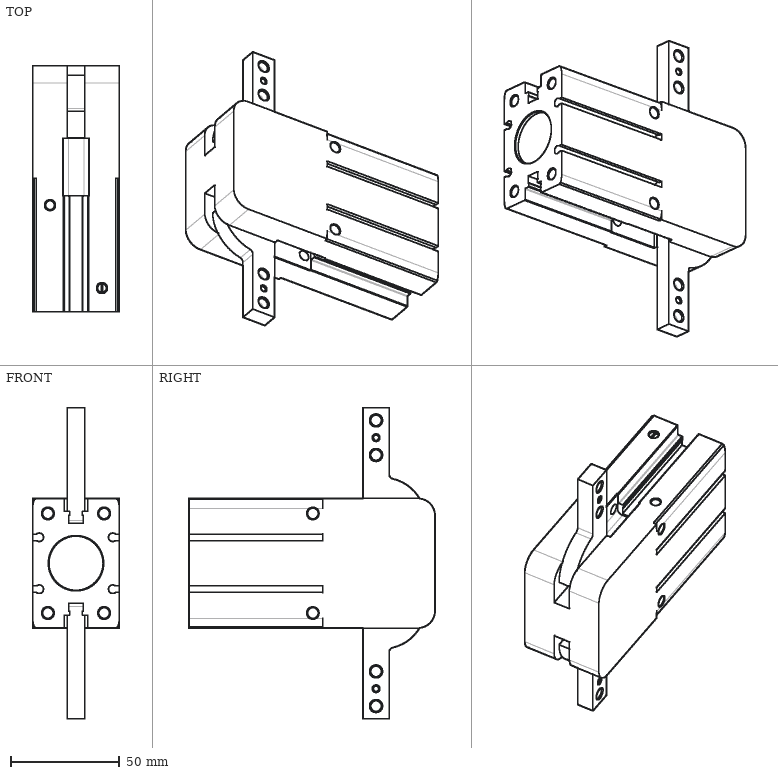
import cadquery as cq
import math

WIDTH = 40.0
HEIGHT = 60.0
LENGTH = 113.8
HALF_WIDTH = WIDTH / 2
HALF_HEIGHT = HEIGHT / 2
NOSE_RADIUS = 8.0
PROFILE_LENGTH = 61.8

BEVEL_WIDTH = 0.9
BEVEL_HEIGHT = 0.55
ARC_DEPTH = 0.75
ARC_HEIGHT = 3.95
ARC_RADIUS = (ARC_DEPTH**2 + ARC_HEIGHT**2) / (2 * ARC_DEPTH)

SENSOR_Z = 12.0
SENSOR_DIAMETER = 3.95
SENSOR_MOUTH = 3.0
SENSOR_DEPTH = 5.0

GROOVE_WIDTH = 11.0
GROOVE_DEPTH = 5.9
NECK_WIDTH = 5.8
NECK_DEPTH = 7.9
TEE_WIDTH = 6.6
TEE_DEPTH = 11.5
GROOVE_EASE = 0.3

POCKET_START = 53.6
POCKET_END = 80.2
POCKET_WIDTH = 11.8
POCKET_FLOOR_Z = 17.5
POCKET_FILLET = 2.4

HOLE_CONE_ANGLE = 118.0
MOUNT_X = 13.0
MOUNT_Z = 23.0
MOUNT_DIAMETER = 4.92
MOUNT_MOUTH = 5.8
MOUNT_DEPTH = 10.0
CROSS_HOLE_Y = 57.3
CROSS_HOLE_DIAMETER = 5.0
CROSS_HOLE_MOUTH = 5.7
PORT_X = 12.0
PORT_Y = 49.3
PORT_DIAMETER = 4.13
PORT_MOUTH = 5.0
PORT_DEPTH = 6.0
RECESS_DIAMETER = 25.0
RECESS_MOUTH = 25.6
RECESS_DEPTH = 2.0

JAW_THICKNESS = 8.2
PIVOT_Y = 89.7
PIVOT_Z = 19.9
RIM_RADIUS = 19.7
ARM_FRONT_Y = 80.4
ARM_WIDTH = 12.2
ARM_BACK_Y = ARM_FRONT_Y + ARM_WIDTH
ARM_TIP_Z = 71.9
ARM_FILLET = 2.0
HUB_RADIUS = PIVOT_Y - ARM_FRONT_Y
ARM_HOLE_Y = (ARM_FRONT_Y + ARM_BACK_Y) / 2
ARM_PIN_Z = 58.0
ARM_HOLE_SPACING = 8.0
ARM_SCREW_DIAMETER = 4.92
ARM_SCREW_MOUTH = 6.0
ARM_PIN_DIAMETER = 2.5
ARM_PIN_MOUTH = 3.5

SLOT_FLOOR_Z = PIVOT_Z - HUB_RADIUS

NEEDLE_X = 12.0
NEEDLE_Y = 11.0
NEEDLE_DIAMETER = PORT_DIAMETER
NEEDLE_LENGTH = 3.5
NEEDLE_SINK = (PORT_MOUTH - PORT_DIAMETER) / 2
NEEDLE_SLOT_WIDTH = 0.8
NEEDLE_SLOT_DEPTH = 1.0


def box(x0, x1, y0, y1, z0, z1):
    """Axis-aligned block between the given limits."""
    return cq.Workplane("XY").box(x1 - x0, y1 - y0, z1 - z0, centered=False).translate((x0, y0, z0))


def hole_tool(diameter, mouth, depth, tip=0.0):
    """Round cutter down -Z from the origin, with a 45 degree mouth and an optional cone tip."""
    radius = diameter / 2
    mouth_radius = mouth / 2
    return (
        cq.Workplane("XZ")
        .moveTo(0, 0)
        .lineTo(mouth_radius, 0)
        .lineTo(radius, radius - mouth_radius)
        .lineTo(radius, -depth)
        .lineTo(0, -depth - tip)
        .close()
        .revolve(360, (0, 0, 0), (0, 1, 0))
    )


def drill_tip(diameter):
    """Height of the cone that a drill leaves."""
    return diameter / 2 / math.tan(math.radians(HOLE_CONE_ANGLE / 2))


def both_halves(shape):
    """The shape and its mirror image below the middle plane Z = 0."""
    return shape, shape.mirror("XY")


def corner_cutter():
    """Sliver removed from the +X +Z corner of the rear stretch."""
    knee_x = HALF_WIDTH - ARC_DEPTH
    arc_end_z = HALF_HEIGHT - BEVEL_HEIGHT - ARC_HEIGHT
    half_sweep = math.asin(ARC_HEIGHT / ARC_RADIUS) / 2
    middle = (
        HALF_WIDTH - ARC_RADIUS * (1 - math.cos(half_sweep)),
        arc_end_z + ARC_RADIUS * math.sin(half_sweep),
    )
    return (
        cq.Workplane("XZ")
        .moveTo(knee_x - BEVEL_WIDTH, HALF_HEIGHT)
        .lineTo(knee_x, HALF_HEIGHT - BEVEL_HEIGHT)
        .threePointArc(middle, (HALF_WIDTH, arc_end_z))
        .lineTo(HALF_WIDTH, HALF_HEIGHT)
        .close()
        .extrude(-PROFILE_LENGTH)
    )


def sensor_groove():
    """Keyhole-shaped groove in the +X side, above the middle."""
    round_x = HALF_WIDTH - SENSOR_DEPTH + SENSOR_DIAMETER / 2
    half_mouth = SENSOR_MOUTH / 2
    mouth = box(round_x, HALF_WIDTH, 0, PROFILE_LENGTH, SENSOR_Z - half_mouth, SENSOR_Z + half_mouth)
    bottom = (
        cq.Workplane("XZ").center(round_x, SENSOR_Z).circle(SENSOR_DIAMETER / 2).extrude(-PROFILE_LENGTH)
    )
    return mouth.union(bottom)


def mouth_bevel(half_width, start, end, z):
    """Roof-shaped cutter that chamfers both edges of a groove whose mouth is at height z."""
    return (
        cq.Workplane("XZ", origin=(0, start, 0))
        .moveTo(-half_width - GROOVE_EASE, z)
        .lineTo(half_width + GROOVE_EASE, z)
        .lineTo(half_width, z - GROOVE_EASE)
        .lineTo(-half_width, z - GROOVE_EASE)
        .close()
        .extrude(start - end)
    )


def channel(width, start, end, floor_z, corner_fillet):
    """Open channel of the top face with rounded floor corners and a chamfered mouth."""
    half = width / 2
    trough = box(-half, half, start, end, floor_z, HALF_HEIGHT)
    trough = trough.edges("|Y and <Z").fillet(corner_fillet)
    return trough.union(mouth_bevel(half, start, end, HALF_HEIGHT))


def face_groove():
    """Stepped groove, pocket and jaw slot of the top face."""
    ledge_z = HALF_HEIGHT - GROOVE_DEPTH
    tee_top_z = HALF_HEIGHT - NECK_DEPTH
    half_neck = NECK_WIDTH / 2
    half_tee = TEE_WIDTH / 2
    half_jaw = JAW_THICKNESS / 2
    groove = channel(GROOVE_WIDTH, 0, POCKET_START, ledge_z, GROOVE_EASE)
    neck = box(-half_neck, half_neck, 0, POCKET_START, tee_top_z, ledge_z)
    neck_bevel = mouth_bevel(half_neck, 0, POCKET_START, ledge_z)
    tee = box(-half_tee, half_tee, 0, POCKET_START, HALF_HEIGHT - TEE_DEPTH, tee_top_z)
    pocket = channel(POCKET_WIDTH, POCKET_START, POCKET_END, POCKET_FLOOR_Z, POCKET_FILLET)
    jaw_slot = box(-half_jaw, half_jaw, POCKET_END, LENGTH, SLOT_FLOOR_Z, HALF_HEIGHT)
    return groove.union(neck).union(neck_bevel).union(tee).union(pocket).union(jaw_slot)


def make_housing():
    body = box(-HALF_WIDTH, HALF_WIDTH, 0, LENGTH, -HALF_HEIGHT, HALF_HEIGHT)
    body = body.edges("|X and >Y").fillet(NOSE_RADIUS)

    for side_shape in (corner_cutter(), sensor_groove()):
        for half in both_halves(side_shape):
            body = body.cut(half).cut(half.mirror("YZ"))
    for groove in both_halves(face_groove()):
        body = body.cut(groove)

    mount = hole_tool(MOUNT_DIAMETER, MOUNT_MOUTH, MOUNT_DEPTH, drill_tip(MOUNT_DIAMETER))
    mount = mount.rotate((0, 0, 0), (1, 0, 0), 90)
    cross = hole_tool(CROSS_HOLE_DIAMETER, CROSS_HOLE_MOUTH, HALF_WIDTH)
    cross = cross.rotate((0, 0, 0), (0, 1, 0), 90).translate((HALF_WIDTH, CROSS_HOLE_Y, MOUNT_Z))
    for x in (-MOUNT_X, MOUNT_X):
        for z in (-MOUNT_Z, MOUNT_Z):
            body = body.cut(mount.translate((x, 0, z)))
    for half in both_halves(cross):
        body = body.cut(half).cut(half.mirror("YZ"))

    port = hole_tool(PORT_DIAMETER, PORT_MOUTH, PORT_DEPTH, drill_tip(PORT_DIAMETER))
    body = body.cut(port.translate((-PORT_X, PORT_Y, HALF_HEIGHT)))
    needle_hole = hole_tool(NEEDLE_DIAMETER, PORT_MOUTH, NEEDLE_SINK + NEEDLE_LENGTH)
    body = body.cut(needle_hole.translate((NEEDLE_X, NEEDLE_Y, HALF_HEIGHT)))

    recess = hole_tool(RECESS_DIAMETER, RECESS_MOUTH, RECESS_DEPTH)
    return body.cut(recess.rotate((0, 0, 0), (1, 0, 0), 90))


def make_upper_jaw():
    """Flat arm on a sector-shaped hub, swung straight out of the housing."""
    rim_meets_arm_z = PIVOT_Z + math.sqrt(RIM_RADIUS**2 - (ARM_BACK_Y - PIVOT_Y) ** 2)
    rim_middle_angle = math.acos((ARM_BACK_Y - PIVOT_Y) / RIM_RADIUS) / 2
    rim_middle = (
        PIVOT_Y + RIM_RADIUS * math.cos(rim_middle_angle),
        PIVOT_Z + RIM_RADIUS * math.sin(rim_middle_angle),
    )
    jaw = (
        cq.Workplane("YZ", origin=(-JAW_THICKNESS / 2, 0, 0))
        .moveTo(ARM_FRONT_Y, PIVOT_Z)
        .lineTo(ARM_FRONT_Y, ARM_TIP_Z)
        .lineTo(ARM_BACK_Y, ARM_TIP_Z)
        .lineTo(ARM_BACK_Y, rim_meets_arm_z)
        .threePointArc(rim_middle, (PIVOT_Y + RIM_RADIUS, PIVOT_Z))
        .lineTo(PIVOT_Y + HUB_RADIUS, PIVOT_Z)
        .threePointArc((PIVOT_Y, PIVOT_Z - HUB_RADIUS), (ARM_FRONT_Y, PIVOT_Z))
        .close()
        .extrude(JAW_THICKNESS)
    )
    corner = cq.selectors.NearestToPointSelector((0, ARM_BACK_Y, rim_meets_arm_z))
    jaw = jaw.edges("|X").edges(corner).fillet(ARM_FILLET)

    half_screw = hole_tool(ARM_SCREW_DIAMETER, ARM_SCREW_MOUTH, JAW_THICKNESS / 2)
    half_pin = hole_tool(ARM_PIN_DIAMETER, ARM_PIN_MOUTH, JAW_THICKNESS / 2)
    for half_hole, offset in (
        (half_screw, -ARM_HOLE_SPACING),
        (half_pin, 0),
        (half_screw, ARM_HOLE_SPACING),
    ):
        half = half_hole.rotate((0, 0, 0), (0, 1, 0), 90)
        half = half.translate((JAW_THICKNESS / 2, ARM_HOLE_Y, ARM_PIN_Z + offset))
        jaw = jaw.cut(half).cut(half.mirror("YZ"))
    return jaw


def make_needle_screw():
    """Slotted screw in the top face, sunk slightly below it."""
    half_slot = NEEDLE_SLOT_WIDTH / 2
    radius = NEEDLE_DIAMETER / 2
    screw = cq.Workplane("XY").circle(radius).extrude(-NEEDLE_LENGTH)
    screw = screw.cut(box(-half_slot, half_slot, -radius, radius, -NEEDLE_SLOT_DEPTH, 0))
    return screw.translate((NEEDLE_X, NEEDLE_Y, HALF_HEIGHT - NEEDLE_SINK))


housing = make_housing()
jaws = both_halves(make_upper_jaw())
needle_screw = make_needle_screw()

result = cq.Compound.makeCompound([housing.val(), *[jaw.val() for jaw in jaws], needle_screw.val()])